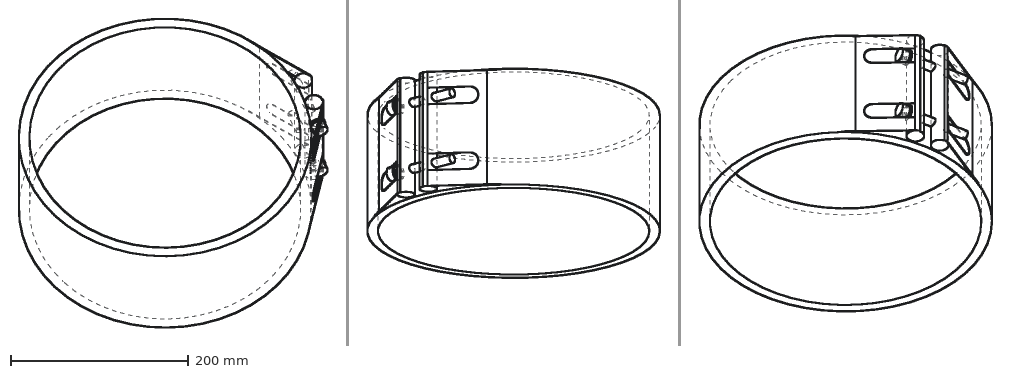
import cadquery as cq
import math

ring_radius = 330.0 / 2
bore_radius = 306.0 / 2
ring_height = 138.0

overall_depth = 350.0
clamp_height = 135.8
strap_thickness = 0.7
slot_width = 19.5
slot_end_y = 151.5
slot_cut_depth = 4 * strap_thickness

pin_radius = 20.0 / 2
bend_radius = pin_radius + strap_thickness
pin_x = 16.0
pin_y = overall_depth - ring_radius - bend_radius

bolt_z = 39.2
bolt_radius = 10.0 / 2
bolt_start_x = -50.5
washer_radius = 18.0 / 2
washer_start_x = 26.0
head_radius = 16.0 / 2
head_start_x = 28.5
head_end_x = 37.8

tangent_angle = math.atan2(pin_x, pin_y) + math.acos(
    (ring_radius - bend_radius) / math.hypot(pin_x, pin_y)
)
normal = cq.Vector(math.sin(tangent_angle), math.cos(tangent_angle), 0)
along = cq.Vector(math.cos(tangent_angle), -math.sin(tangent_angle), 0)
bend_end = cq.Vector(pin_x, pin_y, 0) + normal * bend_radius
ring_contact = normal * ring_radius


def upright_cylinder(x, y, radius, height):
    return cq.Workplane("XY").center(x, y).circle(radius).extrude(height / 2, both=True)


def cylinder_along_x(start_x, end_x, radius, z):
    return (
        cq.Workplane("YZ", origin=(start_x, pin_y, z))
        .circle(radius)
        .extrude(end_x - start_x)
    )


def slotted_strap():
    """Strap on the +X side, with a round-ended slot for each bolt."""
    inner_ring_end = ring_contact - normal * strap_thickness
    mid_angle = tangent_angle / 2
    mid_bend = (
        pin_x + bend_radius * math.sin(mid_angle),
        pin_y + bend_radius * math.cos(mid_angle),
    )
    inner_bend_end = bend_end - normal * strap_thickness
    strap = (
        cq.Workplane("XY")
        .moveTo(pin_x, pin_y)
        .lineTo(pin_x, pin_y + bend_radius)
        .threePointArc(mid_bend, (bend_end.x, bend_end.y))
        .lineTo(ring_contact.x, ring_contact.y)
        .lineTo(inner_ring_end.x, inner_ring_end.y)
        .lineTo(inner_bend_end.x, inner_bend_end.y)
        .close()
        .extrude(clamp_height / 2, both=True)
    )
    slot_length = (bend_end.y - slot_end_y) / math.sin(tangent_angle)
    straight_length = slot_length - slot_width / 2
    for z in (-bolt_z, bolt_z):
        face = cq.Plane(origin=(bend_end.x, bend_end.y, z), xDir=along, normal=normal)
        slot = (
            cq.Workplane(face)
            .moveTo(0, -slot_width / 2)
            .lineTo(straight_length, -slot_width / 2)
            .threePointArc((slot_length, 0), (straight_length, slot_width / 2))
            .lineTo(0, slot_width / 2)
            .close()
            .extrude(slot_cut_depth / 2, both=True)
        )
        strap = strap.cut(slot)
    return strap


def bolt(z):
    """Shank with a washer and a round head at the +X end."""
    shank = cylinder_along_x(bolt_start_x, head_end_x, bolt_radius, z)
    washer = cylinder_along_x(washer_start_x, head_start_x, washer_radius, z)
    head = cylinder_along_x(head_start_x, head_end_x, head_radius, z)
    return shank.union(washer).union(head)


ring = upright_cylinder(0, 0, ring_radius, ring_height)
ring = ring.cut(upright_cylinder(0, 0, bore_radius, ring_height))

right_strap = slotted_strap()
result = ring.union(right_strap).union(right_strap.mirror("YZ"))

for x in (-pin_x, pin_x):
    result = result.union(upright_cylinder(x, pin_y, pin_radius, clamp_height))

for z in (-bolt_z, bolt_z):
    result = result.union(bolt(z))